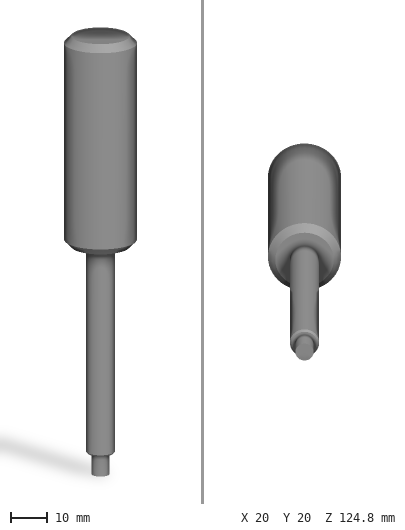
import cadquery as cq

total_length = 124.8
handle_diameter = 20.0
handle_length = 59.9
handle_chamfer = 2.0

shaft_diameter = 8.0
shaft_chamfer = 0.5
tip_diameter = 5.0
tip_length = 6.0

shaft_length = total_length - handle_length - tip_length
handle_bottom = tip_length + shaft_length


def cylinder(diameter, length, bottom):
    """Upright cylinder on the Z axis, starting at height bottom."""
    return cq.Workplane("XY").workplane(offset=bottom).circle(diameter / 2).extrude(length)


handle = cylinder(handle_diameter, handle_length, handle_bottom).edges("%CIRCLE").chamfer(handle_chamfer)

shaft = cylinder(shaft_diameter, shaft_length, tip_length).faces("<Z").edges().chamfer(shaft_chamfer)

tip = cylinder(tip_diameter, tip_length, 0)

result = handle.union(shaft).union(tip)